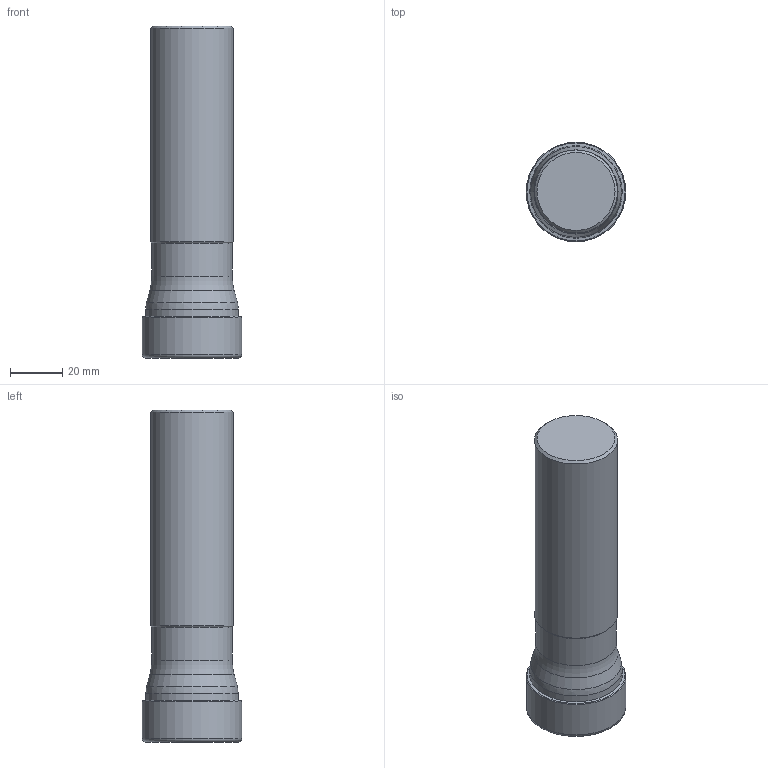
import cadquery as cq
import math

total_length = 127.0
head_diameter = 38.1
shank_diameter = 31.75

head_radius = head_diameter / 2
head_height = 16.0
shoulder_rise = 0.1
rim_bevel = 0.3
head_bottom_fillet = 1.4

neck_radius = 15.4
flare_angle = math.radians(15.0)
collar_top_z = 18.7
flare_cone_bottom_z = 21.4
flare_cone_top_z = 26.0
neck_bottom_z = 31.3
neck_top_z = 43.9

shank_radius = shank_diameter / 2
shank_bottom_z = 44.5
shank_top_chamfer = 0.95


def arc_rise(height):
    """Change in radius along an arc of the given height that turns from upright to the flare angle."""
    return height * math.tan(flare_angle / 2)


def arc_middle(upright_radius, upright_z, end_z, outward):
    """Middle point of an arc that is upright at one end and leans by the flare angle at the other."""
    arc_radius = abs(end_z - upright_z) / math.sin(flare_angle)
    half_angle = flare_angle / 2
    radius = upright_radius + outward * arc_radius * (1 - math.cos(half_angle))
    z = upright_z + math.copysign(arc_radius * math.sin(half_angle), end_z - upright_z)
    return (radius, z)


cone_top_radius = neck_radius + arc_rise(neck_bottom_z - flare_cone_top_z)
cone_height = flare_cone_top_z - flare_cone_bottom_z
cone_bottom_radius = cone_top_radius + cone_height * math.tan(flare_angle)
collar_radius = cone_bottom_radius + arc_rise(flare_cone_bottom_z - collar_top_z)


def make_head():
    rim_z = head_height - shoulder_rise
    profile = (
        cq.Workplane("XZ")
        .lineTo(head_radius, 0)
        .lineTo(head_radius, rim_z - rim_bevel)
        .lineTo(head_radius - rim_bevel, rim_z)
        .lineTo(collar_radius, head_height)
        .lineTo(0, head_height)
        .close()
    )
    disc = profile.revolve(360, (0, 0, 0), (0, 1, 0))
    return disc.faces("<Z").edges().fillet(head_bottom_fillet)


def make_shank():
    convex_middle = arc_middle(collar_radius, collar_top_z, flare_cone_bottom_z, -1)
    concave_middle = arc_middle(neck_radius, neck_bottom_z, flare_cone_top_z, 1)

    profile = (
        cq.Workplane("XZ")
        .moveTo(0, head_height)
        .lineTo(collar_radius, head_height)
        .lineTo(collar_radius, collar_top_z)
        .threePointArc(convex_middle, (cone_bottom_radius, flare_cone_bottom_z))
        .lineTo(cone_top_radius, flare_cone_top_z)
        .threePointArc(concave_middle, (neck_radius, neck_bottom_z))
        .lineTo(neck_radius, neck_top_z)
        .lineTo(shank_radius, shank_bottom_z)
        .lineTo(shank_radius, total_length - shank_top_chamfer)
        .lineTo(shank_radius - shank_top_chamfer, total_length)
        .lineTo(0, total_length)
        .close()
    )
    return profile.revolve(360, (0, 0, 0), (0, 1, 0))


head = make_head()
shank = make_shank()

result = cq.Compound.makeCompound([head.val(), shank.val()])